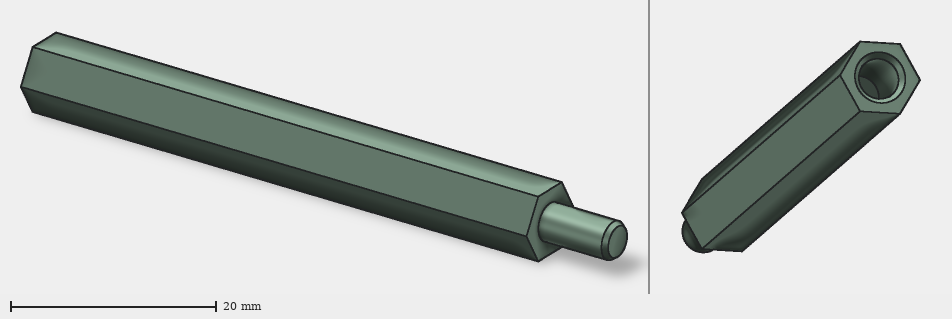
import cadquery as cq
import math

total_length = 68.0
stud_length = 8.0
body_length = total_length - stud_length
across_flats = 7.0
across_corners = across_flats / math.cos(math.pi / 6)

thread_diameter = 4.0
stud_tip_diameter = 3.25
stud_tip_length = 0.55

bore_depth = stud_length
bore_mouth_diameter = 5.1
bore_mouth_depth = (bore_mouth_diameter - thread_diameter) / 2


def hex_body():
    """Hexagonal bar with corners on +Y and -Y and flats on +Z and -Z."""
    return cq.Workplane("YZ").polygon(6, across_corners).extrude(body_length)


def stud():
    """Round stud with a tapered tip, revolved about the X axis."""
    radius = thread_diameter / 2
    return (
        cq.Workplane("XY")
        .moveTo(body_length, 0)
        .lineTo(body_length, radius)
        .lineTo(total_length - stud_tip_length, radius)
        .lineTo(total_length, stud_tip_diameter / 2)
        .lineTo(total_length, 0)
        .close()
        .revolve(360, (0, 0, 0), (1, 0, 0))
    )


def bore():
    """Flat-bottomed blind hole with a countersunk mouth, revolved about the X axis."""
    radius = thread_diameter / 2
    return (
        cq.Workplane("XY")
        .lineTo(0, bore_mouth_diameter / 2)
        .lineTo(bore_mouth_depth, radius)
        .lineTo(bore_depth, radius)
        .lineTo(bore_depth, 0)
        .close()
        .revolve(360, (0, 0, 0), (1, 0, 0))
    )


result = hex_body().union(stud()).cut(bore())